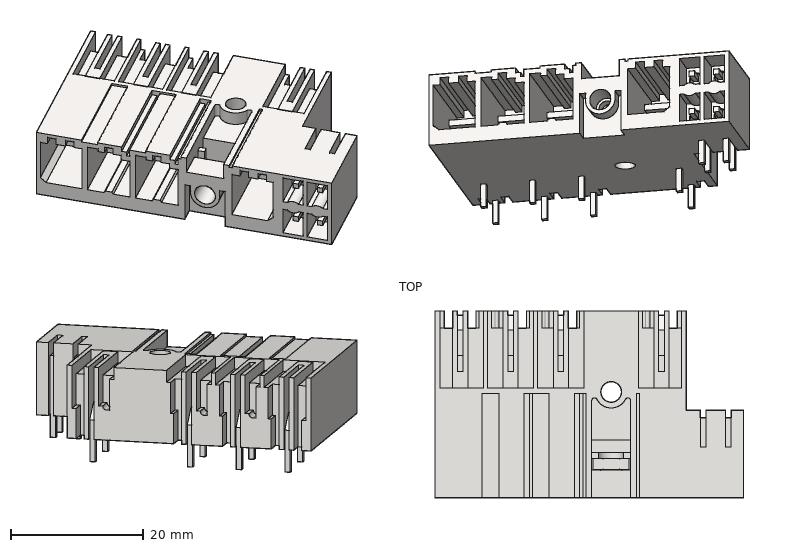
import cadquery as cq
import math

length = 46.7
depth = 28.3
height = 11.3
pin_length = 3.6
power_end = 38.05
signal_depth = 13.25

pole_pitch = 7.6
first_pole = 3.85
first, second, third, fourth = [first_pole + slot * pole_pitch for slot in (0, 1, 2, 4)]
contact_width = 0.85

cavity_depth = 15.4
cavity_floor = 2.4
cavity_wide = 3.35
cavity_narrow = 3.17
cavity_roof = 9.7
key_top = 10.7
key_inner = 0.75
key_outer = 2.1
chamfer_run = 0.9
chamfer_top = 3.15
shoulder_drop = 0.15
centre_key = 0.65
left_step = 1.7
left_step_top = 10.2
right_step = 1.95
right_step_top = 8.9
floor_rib_height = 0.35
floor_rib_base = 0.75
floor_rib_top = 0.5

blade_width = 4.58
blade_bottom = 5.2
blade_top = 6.1
blade_tip = 6.55
tail_start = 19.15
tail_step = 21.52
tail_bend = 25.35
tail_end = 27.65

pocket_start = 16.57
pocket_floor = 9.5
rail_half = 1.145
rail_drop = 0.1
opening_start = 25.7
opening_edge = 2.4
ledge_level = 4.65
ledge_edge = 2.85
pocket_edge = 3.5
end_pocket_edge = 3.05
fillet_foot = 1.77

groove_length = 15.8
groove_depth = 0.35
groove_start = 3.3
groove_wide_end = 5.85
groove_narrow_end = 3.8
key_groove_start = 2.05
key_groove_step = 2.85
key_groove_level = 10.5
key_groove_floor = 9.85

flange_x = 26.65
channel_half = 2.95
channel_floor = 9.2
channel_front_floor = 8.75
boss_y = 16.0
boss_radius = 2.45
end_round = 0.4
screw_hole_radius = 1.55
nut_pocket_front = 4.2
nut_pocket_rear = 8.8
nut_pocket_floor = 2.45
bore_z = 5.15
bore_radius = 1.65
nut_front = 4.3
nut_rear = 5.95
nut_half = 2.73
nut_top = 7.45
nut_hole_radius = 1.235
retainer_rear = 6.85
retainer_top = 8.8
retainer_radius = 1.89
recess_half = 3.2
recess_top = 6.35
recess_depth = 2.4
bore_boss_radius = 2.3

signal_pitch = 3.85
first_signal = 40.57
signal_columns = [first_signal, first_signal + signal_pitch]
signal_cavity_half = 1.6
signal_cavity_depth = 4.65
upper_cavity = (6.35, 10.7)
lower_cavity = (0.65, 4.95)
upper_contact_z = 8.65
lower_contact_z = 2.6
signal_tip = 1.4
upper_contact_rear = 12.15
lower_contact_rear = 8.3
signal_slot_start = 7.65
signal_rib_half = 0.9
signal_rib_height = 0.35
collar_length = 0.7
collar_base_radius = 1.15
collar_tip_radius = 0.85


def block(x0, x1, y0, y1, z0, z1):
    """Box between two opposite corners."""
    return cq.Workplane("XY").box(x1 - x0, y1 - y0, z1 - z0, centered=False).translate((x0, y0, z0))


def front_plane(y):
    """XZ sketch plane at depth y; a negative extrusion runs towards +Y."""
    return cq.Workplane("XZ", origin=(0, y, 0))


def front_prism(points, y0, y1):
    """Prism along Y from an outline in X and Z."""
    return front_plane(y0).polyline(points).close().extrude(y0 - y1)


def front_cylinder(x, z, radius, y0, y1):
    """Cylinder along Y."""
    return front_plane(y0).center(x, z).circle(radius).extrude(y0 - y1)


def end_cavity(pole, side):
    """Cavity with two roof keys and a floor chamfer; side is the direction of the chamfer."""
    outline = [
        (-cavity_wide, cavity_floor),
        (-cavity_wide, cavity_roof),
        (-key_outer, cavity_roof),
        (-key_outer, key_top),
        (-key_inner, key_top),
        (-key_inner, cavity_roof),
        (key_inner, cavity_roof),
        (key_inner, key_top),
        (key_outer, key_top),
        (key_outer, cavity_roof - shoulder_drop),
        (cavity_narrow, cavity_roof - shoulder_drop),
        (cavity_narrow, chamfer_top),
        (cavity_narrow - chamfer_run, cavity_floor),
    ]
    return front_prism([(pole + side * x, z) for x, z in outline], 0, cavity_depth)


def middle_cavity(pole):
    """Cavity with a centre key, stepped roof and a small rib on the floor."""
    rib_level = cavity_floor + floor_rib_height
    outline = [
        (-cavity_wide, cavity_floor),
        (-cavity_wide, left_step_top),
        (-left_step, left_step_top),
        (-left_step, cavity_roof),
        (-centre_key, cavity_roof),
        (-centre_key, key_top),
        (centre_key, key_top),
        (centre_key, cavity_roof),
        (right_step, cavity_roof),
        (right_step, right_step_top),
        (cavity_wide, right_step_top),
        (cavity_wide, cavity_floor),
        (floor_rib_base, cavity_floor),
        (floor_rib_top, rib_level),
        (-floor_rib_top, rib_level),
        (-floor_rib_base, cavity_floor),
    ]
    return front_prism([(pole + x, z) for x, z in outline], 0, cavity_depth)


def rear_pocket_side(pole, side, edge, ledge_outer):
    """Pocket beside the rail, with an opening through the bottom and a ledge at the rear."""
    def part(inner, outer, y0, z0):
        ends = sorted((pole + side * inner, pole + side * outer))
        return block(*ends, y0, depth, z0, height)

    pocket = part(rail_half, edge, pocket_start, pocket_floor)
    pocket = pocket.union(part(rail_half, opening_edge, opening_start, 0))
    return pocket.union(part(rail_half, ledge_outer, opening_start, ledge_level))


def rounded_pocket_side(pole):
    """Left pocket whose rear ledge rises to the rail through a concave round."""
    radius = opening_edge - fillet_foot
    arc_offset = radius * math.sqrt(0.5)
    pocket = block(pole - pocket_edge, pole - rail_half, pocket_start, depth, pocket_floor, height)
    ledge = (
        front_plane(opening_start)
        .moveTo(pole - ledge_edge, ledge_level)
        .lineTo(pole - opening_edge, ledge_level)
        .threePointArc(
            (pole - opening_edge + arc_offset, ledge_level + radius - arc_offset),
            (pole - fillet_foot, ledge_level + radius),
        )
        .lineTo(pole - rail_half, ledge_level + radius)
        .lineTo(pole - rail_half, height)
        .lineTo(pole - ledge_edge, height)
        .close()
        .extrude(opening_start - depth)
    )
    return pocket.union(ledge)


def centred_slot(x, y0, y1):
    """Slot for a contact tail, open to the top, bottom and rear."""
    half = contact_width / 2
    return block(x - half, x + half, y0, y1, 0, height)


def pin(x, y0, top):
    """Square solder pin reaching below the housing."""
    half = contact_width / 2
    return block(x - half, x + half, y0, y0 + contact_width, -pin_length, top)


def power_contact(pole):
    """Flat blade, the tail filling the rail slot and two solder pins."""
    blade = block(pole - blade_width / 2, pole + blade_width / 2,
                  blade_tip, pocket_start, blade_bottom, blade_top)
    bend_bottom = blade_bottom - (tail_end - tail_bend)
    tail = (
        cq.Workplane("YZ", origin=(pole - contact_width / 2, 0, 0))
        .polyline([
            (tail_start, 0),
            (tail_start, blade_top),
            (tail_step, blade_top),
            (tail_step, blade_bottom),
            (tail_bend, blade_bottom),
            (tail_end, bend_bottom),
            (tail_end, 0),
        ])
        .close()
        .extrude(contact_width)
    )
    front_pin = pin(pole, tail_start, blade_bottom)
    rear_pin = pin(pole, tail_end - contact_width, 0)
    return blade.union(tail).union(front_pin).union(rear_pin)


def shallow_groove(x0, x1):
    return block(x0, x1, 0, groove_length, height - groove_depth, height)


def key_groove(pole):
    """Two-level keying groove in the top face."""
    upper = block(pole + key_groove_start, pole + groove_start, 0, groove_length,
                  key_groove_level, height)
    lower = block(pole + key_groove_step, pole + groove_start, 0, groove_length,
                  key_groove_floor, height)
    return upper.union(lower)


def screw_channel():
    """Channel open to the front whose rear end wraps round the screw boss."""
    run = channel_half - end_round
    reach = boss_radius + end_round
    round_y = boss_y - math.sqrt(reach ** 2 - run ** 2)
    tangent_run = run * boss_radius / reach
    tangent_y = boss_y - (boss_y - round_y) * boss_radius / reach
    diagonal = end_round * math.sqrt(0.5)
    arch_run = run + diagonal
    arch_y = round_y + diagonal
    channel = (
        cq.Workplane("XY", origin=(flange_x, 0, channel_floor))
        .moveTo(-channel_half, 0)
        .lineTo(-channel_half, round_y)
        .threePointArc((-arch_run, arch_y), (-tangent_run, tangent_y))
        .threePointArc((0, boss_y - boss_radius), (tangent_run, tangent_y))
        .threePointArc((arch_run, arch_y), (channel_half, round_y))
        .lineTo(channel_half, 0)
        .close()
        .extrude(height - channel_floor)
    )
    left = flange_x - channel_half
    right = flange_x + channel_half
    front = block(left, right, 0, nut_pocket_front, channel_front_floor, height)
    nut_pocket = block(left, right, nut_pocket_front, nut_pocket_rear, nut_pocket_floor, height)
    return channel.union(front).union(nut_pocket)


def front_recess():
    """Recess below the bore that leaves a U-shaped boss round it."""
    recess = block(flange_x - recess_half, flange_x + recess_half, 0, recess_depth, 0, recess_top)
    boss_sides = block(flange_x - bore_boss_radius, flange_x + bore_boss_radius,
                       0, recess_depth, bore_z, recess_top)
    boss_round = front_cylinder(flange_x, bore_z, bore_boss_radius, 0, recess_depth)
    return recess.cut(boss_sides).cut(boss_round)


def nut():
    """Nut plate with its threaded hole left plain."""
    plate = block(flange_x - nut_half, flange_x + nut_half,
                  nut_front, nut_rear, nut_pocket_floor, nut_top)
    return plate.cut(front_cylinder(flange_x, bore_z, nut_hole_radius, nut_front, nut_rear))


def nut_retainer():
    """Wall behind the nut with a U-shaped cut-out open at the top."""
    wall = block(flange_x - channel_half, flange_x + channel_half,
                 nut_rear, retainer_rear, nut_pocket_floor, retainer_top)
    trough = block(flange_x - retainer_radius, flange_x + retainer_radius,
                   nut_rear, retainer_rear, bore_z, retainer_top)
    trough_round = front_cylinder(flange_x, bore_z, retainer_radius, nut_rear, retainer_rear)
    return wall.cut(trough).cut(trough_round)


def signal_cavity(x, flat_z, ribbed_z):
    """Plug cavity with a rounded rib on the wall shared by the two rows."""
    left = x - signal_cavity_half
    right = x + signal_cavity_half
    rib_tip = ribbed_z + math.copysign(signal_rib_height, flat_z - ribbed_z)
    return (
        front_plane(0)
        .moveTo(left, flat_z)
        .lineTo(left, ribbed_z)
        .lineTo(x - signal_rib_half, ribbed_z)
        .threePointArc((x, rib_tip), (x + signal_rib_half, ribbed_z))
        .lineTo(right, ribbed_z)
        .lineTo(right, flat_z)
        .close()
        .extrude(-signal_cavity_depth)
    )


def signal_contact(x, z, rear):
    """Square pin with a tapered collar, turned down at the rear into a solder pin."""
    half = contact_width / 2
    wire = block(x - half, x + half, signal_tip, rear, z - half, z + half)
    collar = (
        front_plane(signal_cavity_depth)
        .center(x, z)
        .circle(collar_base_radius)
        .workplane(offset=collar_length)
        .circle(collar_tip_radius)
        .loft()
    )
    return wire.union(collar).union(pin(x, rear - contact_width, z))


body = block(0, power_end, 0, depth, 0, height)
body = body.union(block(power_end, length, 0, signal_depth, 0, height))

body = body.cut(end_cavity(first, -1)).cut(end_cavity(fourth, 1))
for pole in (second, third):
    body = body.cut(middle_cavity(pole))

body = body.cut(rear_pocket_side(first, -1, end_pocket_edge, end_pocket_edge))
body = body.cut(rear_pocket_side(fourth, 1, end_pocket_edge, end_pocket_edge))
for pole in (first, second, third):
    body = body.cut(rear_pocket_side(pole, 1, pocket_edge, ledge_edge))
for pole in (second, third, fourth):
    body = body.cut(rounded_pocket_side(pole))

for pole in (first, second, third, fourth):
    body = body.cut(block(pole - rail_half, pole + rail_half,
                          pocket_start, depth, height - rail_drop, height))

for pole in (first, second):
    body = body.cut(shallow_groove(pole + groove_start, pole + groove_wide_end))
body = body.cut(shallow_groove(third + groove_start, third + groove_narrow_end))
body = body.cut(shallow_groove(fourth - groove_narrow_end, fourth - groove_start))
for pole in (second, third):
    body = body.cut(key_groove(pole))

body = body.cut(screw_channel())
body = body.cut(cq.Workplane("XY").center(flange_x, boss_y).circle(screw_hole_radius).extrude(height))
body = body.cut(front_recess())
body = body.cut(front_cylinder(flange_x, bore_z, bore_radius, 0, nut_pocket_front))
body = body.union(nut()).union(nut_retainer())

for pole in (first, second, third, fourth):
    body = body.cut(centred_slot(pole, tail_start, depth))
    body = body.union(power_contact(pole))

lower_floor, lower_roof = lower_cavity
upper_floor, upper_roof = upper_cavity
for x in signal_columns:
    body = body.cut(signal_cavity(x, upper_roof, upper_floor))
    body = body.cut(signal_cavity(x, lower_floor, lower_roof))
    body = body.cut(centred_slot(x, signal_slot_start, signal_depth))
    body = body.union(signal_contact(x, upper_contact_z, upper_contact_rear))
    body = body.union(signal_contact(x, lower_contact_z, lower_contact_rear))

result = body